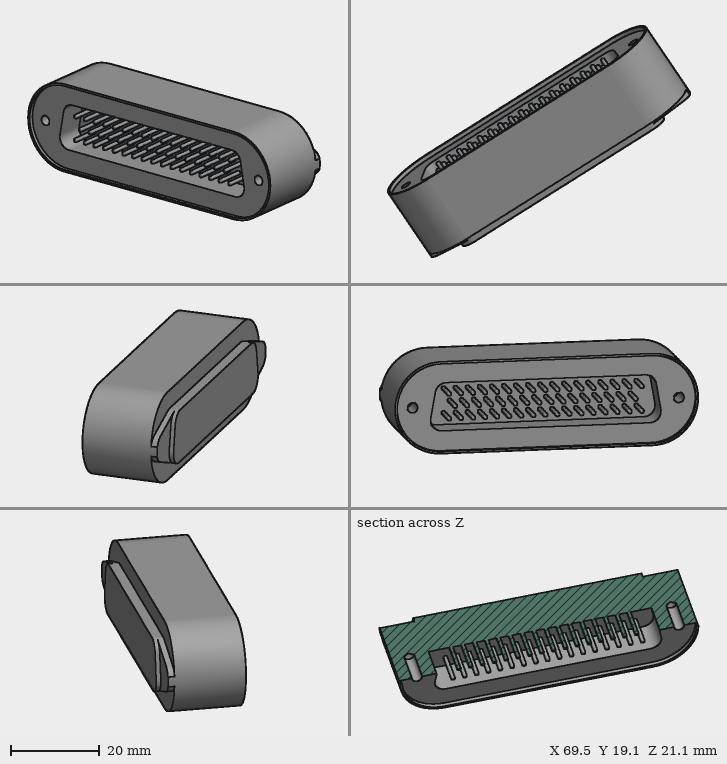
import cadquery as cq
import math

HOUSING_LENGTH = 69.55
HOUSING_HEIGHT = 21.13
HOUSING_DEPTH = 16.5
RIM_WIDTH = 0.5
RIM_DEPTH = 1.0

SIDE_ANGLE = 10.0
SHELL_WALL = 0.68
PLATE_HALF_WIDTH = 27.1
PLATE_HALF_HEIGHT = 6.2
PLATE_CORNER_RADIUS = 3.27
PLATE_RISE = 2.55
SOCKET_HALF_WIDTH = PLATE_HALF_WIDTH - SHELL_WALL
SOCKET_HALF_HEIGHT = PLATE_HALF_HEIGHT - SHELL_WALL
SOCKET_CORNER_RADIUS = PLATE_CORNER_RADIUS - SHELL_WALL
SOCKET_FLOOR = 8.0

PIN_PITCH = 2.763
ROW_PITCH = 2.84
PIN_DIAMETER = 0.95
PIN_TIP = 1.1
PIN_TIP_ROUND = 0.2
PIN_COUNTS = (17, 16, 17)

EAR_RISE = 1.5
EAR_TIP_CENTER_X = 31.66

HOLE_SPACING = 61.1
HOLE_DIAMETER = 2.3
HOLE_DEPTH = 8.0
DRILL_POINT_ANGLE = 118.0


def extrude_back(sketch, start, end):
    """Extrude a front-facing sketch from depth Y = start to Y = end."""
    return sketch.extrude(start - end).translate((0, start, 0))


def stadium(length, height, start, end):
    return extrude_back(cq.Workplane("XZ").slot2D(length, height), start, end)


def rounded_d(half_width, half_height, radius, start, end):
    """Trapezoid, wider at the bottom, with rounded corners; half_width is at the widest point."""
    slope = math.tan(math.radians(SIDE_ANGLE))
    side_offset = radius / math.cos(math.radians(SIDE_ANGLE))
    mid_half_width = half_width - radius + side_offset - slope * (half_height - radius)
    bottom = mid_half_width + slope * half_height
    top = mid_half_width - slope * half_height
    outline = cq.Workplane("XZ").polyline([
        (-bottom, -half_height),
        (bottom, -half_height),
        (top, half_height),
        (-top, half_height),
    ]).close()
    return extrude_back(outline, start, end).edges("|Y").fillet(radius)


def make_housing():
    housing = stadium(HOUSING_LENGTH, HOUSING_HEIGHT, 0, HOUSING_DEPTH)
    recess = stadium(HOUSING_LENGTH - 2 * RIM_WIDTH, HOUSING_HEIGHT - 2 * RIM_WIDTH, 0, RIM_DEPTH)
    return housing.cut(recess)


def make_back_plate():
    return rounded_d(PLATE_HALF_WIDTH, PLATE_HALF_HEIGHT, PLATE_CORNER_RADIUS,
                     HOUSING_DEPTH, HOUSING_DEPTH + PLATE_RISE)


def make_socket():
    return rounded_d(SOCKET_HALF_WIDTH, SOCKET_HALF_HEIGHT, SOCKET_CORNER_RADIUS, 0, SOCKET_FLOOR)


def ear_flank(corner_x, corner_z):
    """Ends (x, z) of the straight flank touching a plate corner circle and the ear's tip circle."""
    center_distance = math.hypot(EAR_TIP_CENTER_X - corner_x, corner_z)
    outward_x = PLATE_CORNER_RADIUS * abs(corner_z) / center_distance
    outward_z = PLATE_CORNER_RADIUS * (EAR_TIP_CENTER_X - corner_x) / center_distance
    if corner_z < 0:
        outward_z = -outward_z
    return (corner_x + outward_x, corner_z + outward_z), (EAR_TIP_CENTER_X + outward_x, outward_z)


def make_ears():
    """Tapered ears with round tips, trimmed flush with the housing's round ends."""
    back = HOUSING_DEPTH + EAR_RISE
    corner_z = PLATE_HALF_HEIGHT - PLATE_CORNER_RADIUS
    bottom_corner_x = PLATE_HALF_WIDTH - PLATE_CORNER_RADIUS
    top_corner_x = bottom_corner_x - 2 * corner_z * math.tan(math.radians(SIDE_ANGLE))
    top_start, top_end = ear_flank(top_corner_x, corner_z)
    bottom_start, bottom_end = ear_flank(bottom_corner_x, -corner_z)
    outline = cq.Workplane("XZ").moveTo(*top_start).lineTo(*top_end)
    outline = outline.threePointArc((EAR_TIP_CENTER_X + PLATE_CORNER_RADIUS, 0), bottom_end)
    outline = outline.lineTo(*bottom_start).close()
    envelope = stadium(HOUSING_LENGTH, HOUSING_HEIGHT, HOUSING_DEPTH, back)
    ear = extrude_back(outline, HOUSING_DEPTH, back).intersect(envelope)
    return ear.union(ear.mirror("YZ"))


def make_pins():
    pins = cq.Workplane("XZ")
    length = SOCKET_FLOOR - PIN_TIP
    pin = cq.Workplane("XZ").circle(PIN_DIAMETER / 2).extrude(-length)
    pin = pin.faces("<Y").edges().fillet(PIN_TIP_ROUND)
    middle_row = (len(PIN_COUNTS) - 1) / 2
    for row, count in enumerate(PIN_COUNTS):
        z = (middle_row - row) * ROW_PITCH
        for column in range(count):
            x = (column - (count - 1) / 2) * PIN_PITCH
            pins = pins.add(pin.translate((x, PIN_TIP, z)))
    return pins.combine()


def make_mounting_holes():
    radius = HOLE_DIAMETER / 2
    point_length = radius / math.tan(math.radians(DRILL_POINT_ANGLE / 2))
    section = cq.Workplane("XY").polyline([
        (0, 0),
        (radius, 0),
        (radius, HOLE_DEPTH),
        (0, HOLE_DEPTH + point_length),
    ]).close()
    hole = section.revolve(360, (0, 0, 0), (0, 1, 0))
    left = hole.translate((-HOLE_SPACING / 2, 0, 0))
    right = hole.translate((HOLE_SPACING / 2, 0, 0))
    return left.add(right).combine()


body = make_housing().union(make_back_plate()).union(make_ears())
body = body.cut(make_socket()).cut(make_mounting_holes())
result = body.union(make_pins())